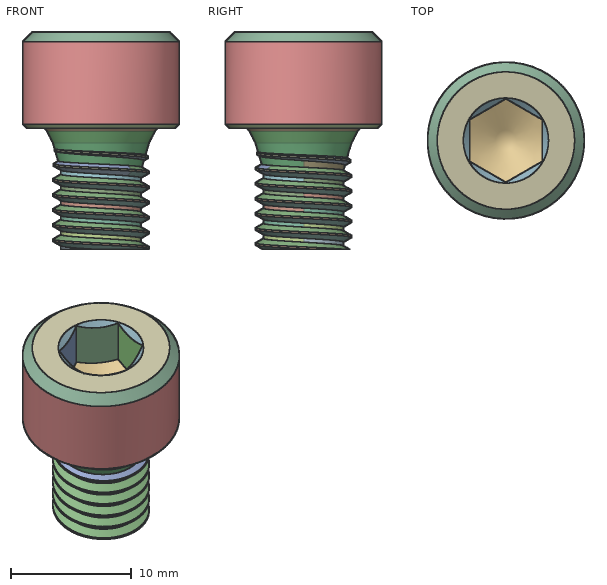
import cadquery as cq
import math

total_height = 18.0
shank_length = 10.0
head_radius = 6.5
head_top_chamfer = 0.81
head_bottom_chamfer = 0.36

hex_across_flats = 6.0
socket_depth = 4.0
socket_mouth_radius = 3.53
socket_mouth_angle = 38.0
socket_point_angle = 120.0

thread_radius = 4.0
root_radius = 3.33
pitch = 2 * thread_radius * 5 / 32
flank_angle = 30.0
crest_width = pitch / 8
thread_turns = 6.14
cylinder = 360.0
runout_turns = 1.5
runout_angle = 4.8
lowest_crest_height = 0.13
thread_start = lowest_crest_height - pitch
thread_overlap = 0.1
thread_end = thread_start + thread_turns * pitch

neck_lower_end = 8.82
neck_upper_end = 9.77
neck_upper_radius = 4.48
neck_head_radius = 4.68


def make_body():
    """Head, neck and thread core as one turned solid."""
    return (
        cq.Workplane("XZ")
        .moveTo(0, 0)
        .lineTo(root_radius, 0)
        .lineTo(root_radius, thread_end)
        .lineTo(thread_radius, neck_lower_end)
        .lineTo(neck_upper_radius, neck_upper_end)
        .lineTo(neck_head_radius, shank_length)
        .lineTo(head_radius - head_bottom_chamfer, shank_length)
        .lineTo(head_radius, shank_length + head_bottom_chamfer)
        .lineTo(head_radius, total_height - head_top_chamfer)
        .lineTo(head_radius - head_top_chamfer, total_height)
        .lineTo(0, total_height)
        .close()
        .revolve(360, (0, 0), (0, 1))
    )


def make_socket():
    """Hexagonal recess with a conical mouth and a conical floor."""
    corner_radius = hex_across_flats / math.sqrt(3)
    point_depth = corner_radius / math.tan(math.radians(socket_point_angle / 2))
    mouth_depth = socket_mouth_radius * math.tan(math.radians(socket_mouth_angle))
    floor_height = total_height - socket_depth
    prism = (
        cq.Workplane("XY", origin=(0, 0, floor_height - point_depth))
        .transformed(rotate=(0, 0, 90))
        .polygon(6, 2 * corner_radius)
        .extrude(socket_depth + point_depth)
    )
    drill = (
        cq.Workplane("XZ")
        .polyline(
            [
                (0, floor_height - point_depth),
                (corner_radius, floor_height),
                (corner_radius, total_height),
                (0, total_height),
            ]
        )
        .close()
        .revolve(360, (0, 0), (0, 1))
    )
    mouth_apex = cq.Vector(0, 0, total_height - mouth_depth)
    mouth = cq.Solid.makeCone(0, socket_mouth_radius, mouth_depth, pnt=mouth_apex)
    return prism.intersect(drill).union(cq.Workplane(mouth))


def make_ridge(turns, cone_angle):
    """One stretch of left-handed thread ridge whose crest starts at height 0 on the +X side."""
    helix = cq.Wire.makeHelix(pitch, turns * pitch, thread_radius, angle=cone_angle, lefthand=True)
    base_radius = root_radius - thread_overlap
    half_crest = crest_width / 2
    half_base = half_crest + (thread_radius - base_radius) * math.tan(math.radians(flank_angle))
    return (
        cq.Workplane("XZ")
        .polyline(
            [
                (base_radius, -half_base),
                (thread_radius, -half_crest),
                (thread_radius, half_crest),
                (base_radius, half_base),
            ]
        )
        .close()
        .sweep(cq.Workplane(obj=helix), isFrenet=True)
    )


def make_full_thread():
    """Thread of full depth, cut flat at the shank end."""
    ridge = make_ridge(thread_turns, cylinder).translate((0, 0, thread_start))
    cutter_side = 3 * thread_radius
    below_shank = cq.Workplane("XY").rect(cutter_side, cutter_side).extrude(-2 * pitch)
    return ridge.cut(below_shank)


def make_thread_runout():
    """Continuation of the full thread that narrows and sinks into the neck."""
    return (
        make_ridge(runout_turns, -runout_angle)
        .rotate((0, 0, 0), (0, 0, 1), -360 * thread_turns)
        .translate((0, 0, thread_end))
    )


result = make_body().cut(make_socket()).union(make_full_thread()).union(make_thread_runout())